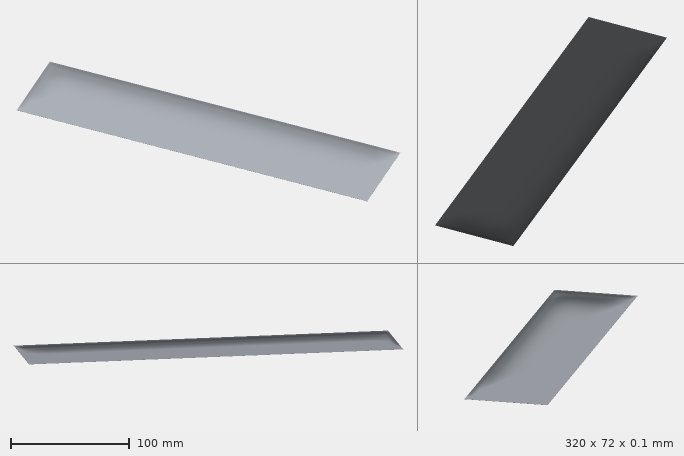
import cadquery as cq

length = 320.0
width = 72.0
thickness = 0.1

result = cq.Workplane("XY").box(length, width, thickness)